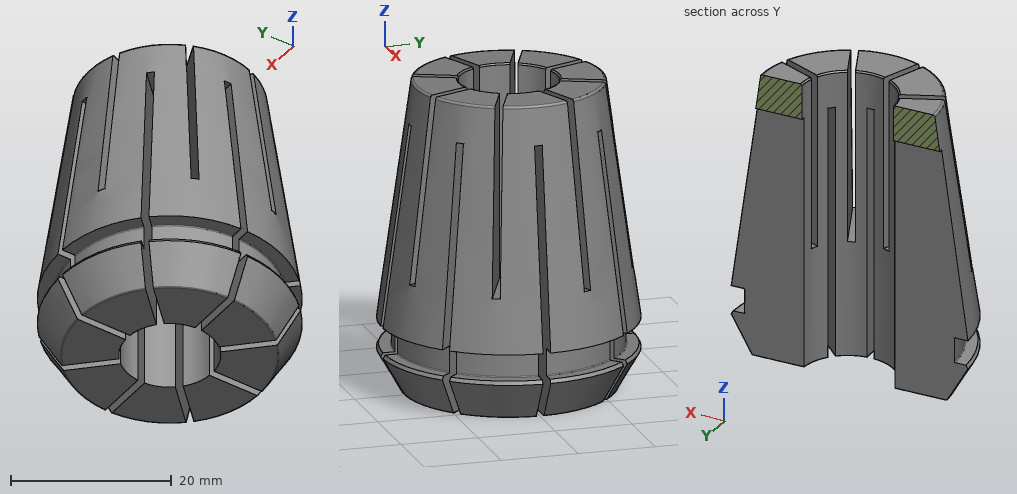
import cadquery as cq
import math

length = 40.0
max_radius = 32.95 / 2
bore_radius = 12.7 / 2

nose_angle = 30.0
nose_fillet = 0.2
flange_edge_z = 5.1
flange_edge_height = 0.5
groove_radius = 14.6
groove_top_z = 9.05
groove_fillet = 0.1

taper_angle = 8.0
top_fillet = 0.3
bore_chamfer = 0.2

slots_per_end = 8
slot_width = 1.0
bottom_slot_end_z = 35.0
top_slot_end_z = 16.0

edge_margin = 0.05

slot_pitch = 360.0 / slots_per_end
groove_bottom_z = flange_edge_z + flange_edge_height
nose_slope = math.tan(math.radians(nose_angle))
nose_radius = max_radius - flange_edge_z * nose_slope
flange_top_radius = max_radius - flange_edge_height * nose_slope
top_radius = max_radius - (length - groove_top_z) * math.tan(math.radians(taper_angle))


def fillet_circle(body, radius, height, fillet_radius):
    """Round the circular edge of the given radius lying at the given height."""
    picker = cq.selectors.BoxSelector(
        (-radius - edge_margin, -radius - edge_margin, height - edge_margin),
        (radius + edge_margin, radius + edge_margin, height + edge_margin),
        boundingbox=True,
    )
    circles = body.edges("%CIRCLE").edges(picker)
    outermost = cq.selectors.RadiusNthSelector(-1)
    return circles.edges(outermost).fillet(fillet_radius)


def collet_body():
    """Revolve the half section of the bored collet, as (radius, height) points."""
    section = [
        (bore_radius, 0),
        (nose_radius, 0),
        (max_radius, flange_edge_z),
        (flange_top_radius, groove_bottom_z),
        (groove_radius, groove_bottom_z),
        (groove_radius, groove_top_z),
        (max_radius, groove_top_z),
        (top_radius, length),
        (bore_radius + bore_chamfer, length),
        (bore_radius, length - bore_chamfer),
    ]
    body = cq.Workplane("XZ").polyline(section).close().revolve(360, (0, 0, 0), (0, 1, 0))
    body = fillet_circle(body, nose_radius, 0, nose_fillet)
    body = fillet_circle(body, groove_radius, groove_bottom_z, groove_fillet)
    body = fillet_circle(body, groove_radius, groove_top_z, groove_fillet)
    return fillet_circle(body, top_radius, length, top_fillet)


def radial_slots(z_low, z_high, first_angle):
    """Make a ring of thin radial cutters reaching from the axis to the outside."""
    blade = cq.Workplane("XY").workplane(offset=z_low).rect(2 * max_radius, slot_width)
    blade = blade.extrude(z_high - z_low).translate((max_radius, 0, 0))
    cutters = cq.Workplane("XY")
    for index in range(slots_per_end):
        angle = first_angle + index * slot_pitch
        cutters = cutters.add(blade.rotate((0, 0, 0), (0, 0, 1), angle))
    return cutters.combine()


bottom_slots = radial_slots(0, bottom_slot_end_z, 0)
top_slots = radial_slots(top_slot_end_z, length, slot_pitch / 2)

result = collet_body().cut(bottom_slots).cut(top_slots)